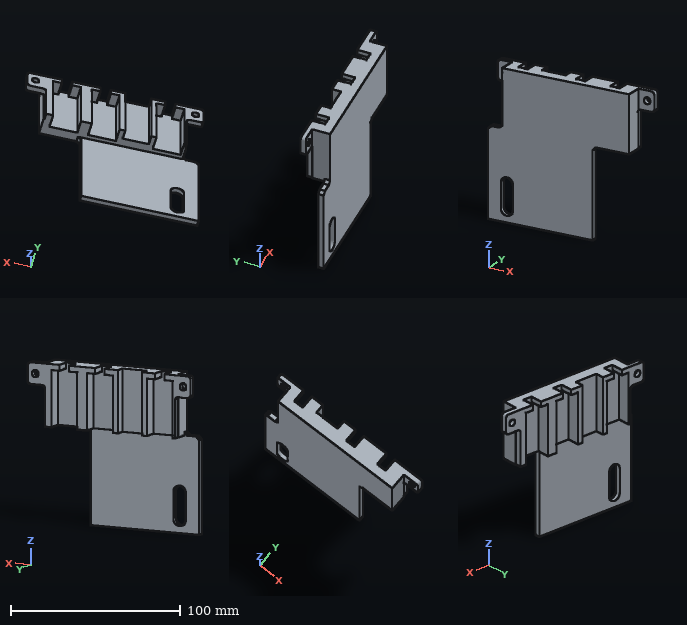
import cadquery as cq

length = 107.6
depth = 15.0
height = 97.0

block_left = 9.8
block_right = 96.8
block_height = 38.0
slot_width = 6.2
slot_depth = 8.6
slot_lip_height = 3.5
slot_undercut = 5.4
slot_lefts = (17.2, 56.7, 80.3)
recess_left = 32.0
recess_width = 15.9
recess_depth = 5.9

plate_width = 71.8
plate_thickness = 3.5
plate_chamfer = 2.0
plate_height = height - block_height

ear_height = 13.1
ear_root_inset = 0.5
ear_overlap = 1.1
left_ear_thickness = 3.4
right_ear_thickness = 4.0
ear_radius = 2.0
ear_hole_diameter = 4.2
ear_hole_inset = 5.0
ear_hole_drop = ear_height / 2

long_hole_left = 8.9
long_hole_width = 8.2
long_hole_length = 24.1
long_hole_bottom = 4.4


def box(x, y, z, size_x, size_y, size_z):
    """Box placed by its corner of least X, Y and Z."""
    return cq.Workplane("XY").box(size_x, size_y, size_z, centered=False).translate((x, y, z))


def front_prism(outline, y, thickness):
    """Extrude an XZ outline towards +Y, starting at y."""
    return outline.extrude(-thickness).translate((0, y, 0))


def cut_from_back(block, left, width, cut_depth, cut_height):
    """Cut a groove into the back of the block, open at the bottom."""
    return block.cut(box(left, depth - cut_depth, plate_height, width, cut_depth, cut_height))


def make_block():
    block = box(block_left, 0, plate_height, block_right - block_left, depth, block_height)

    block = cut_from_back(block, block_left, ear_root_inset, left_ear_thickness, block_height)
    block = cut_from_back(
        block, block_right - ear_root_inset, ear_root_inset, right_ear_thickness, block_height
    )

    for left in slot_lefts:
        block = cut_from_back(block, left, slot_width, slot_depth, block_height)
        block = cut_from_back(
            block,
            left - slot_undercut,
            slot_width + 2 * slot_undercut,
            slot_depth,
            block_height - slot_lip_height,
        )
    return cut_from_back(block, recess_left, recess_width, recess_depth, block_height)


def make_plate():
    outline = (
        cq.Workplane("XZ")
        .polyline([
            (0, 0),
            (plate_width, 0),
            (plate_width, plate_height - plate_chamfer),
            (plate_width + plate_chamfer, plate_height),
            (block_right, plate_height),
            (block_right, plate_height + plate_chamfer),
            (block_left, plate_height + plate_chamfer),
            (block_left - plate_chamfer, plate_height),
            (plate_chamfer, plate_height),
            (0, plate_height - plate_chamfer),
        ])
        .close()
    )
    long_hole = (
        cq.Workplane("XZ")
        .center(long_hole_left + long_hole_width / 2, long_hole_bottom + long_hole_length / 2)
        .slot2D(long_hole_length, long_hole_width, 90)
    )
    plate = front_prism(outline, 0, plate_thickness)
    return plate.cut(front_prism(long_hole, 0, plate_thickness))


def make_ear(outer_x, block_x, thickness):
    """Ear with rounded outer corners and a fillet under its root."""
    outward = 1 if outer_x > block_x else -1
    ear_bottom = height - ear_height
    root_x = block_x - outward * ear_root_inset
    inner_x = root_x - outward * ear_overlap
    outline = (
        cq.Workplane("XZ")
        .moveTo(inner_x, height)
        .lineTo(outer_x - outward * ear_radius, height)
        .radiusArc((outer_x, height - ear_radius), outward * ear_radius)
        .lineTo(outer_x, ear_bottom + ear_radius)
        .radiusArc((outer_x - outward * ear_radius, ear_bottom), outward * ear_radius)
        .lineTo(root_x + outward * ear_radius, ear_bottom)
        .radiusArc((root_x, ear_bottom - ear_radius), -outward * ear_radius)
        .lineTo(inner_x, ear_bottom - ear_radius)
        .close()
    )
    hole = (
        cq.Workplane("XZ")
        .center(outer_x - outward * ear_hole_inset, height - ear_hole_drop)
        .circle(ear_hole_diameter / 2)
    )
    ear = front_prism(outline, depth - thickness, thickness)
    return ear.cut(front_prism(hole, depth - thickness, thickness))


result = (
    make_block()
    .union(make_plate())
    .union(make_ear(0, block_left, left_ear_thickness))
    .union(make_ear(length, block_right, right_ear_thickness))
)